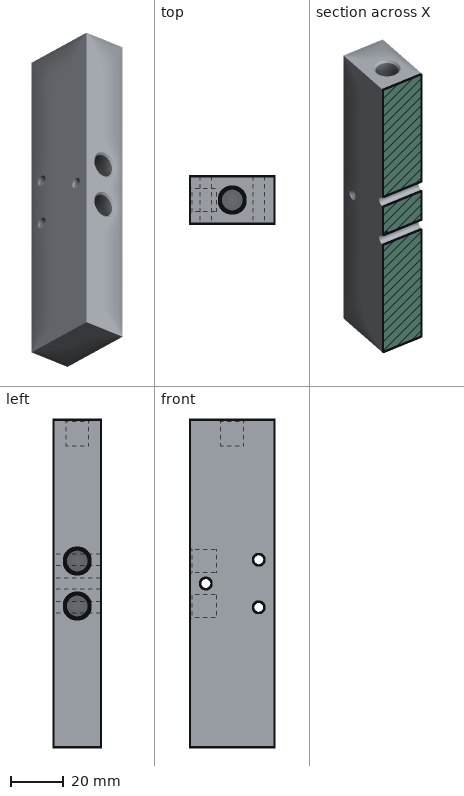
import cadquery as cq

WIDTH = 32.0
THICKNESS = 18.0
HEIGHT = 124.0

PORT_DIAMETER = 8.7
PORT_MOUTH_DIAMETER = 10.2
PORT_CHAMFER = (PORT_MOUTH_DIAMETER - PORT_DIAMETER) / 2
PORT_DEPTH = 10.0
SIDE_PORT_SPACING = 17.0

MOUNT_DIAMETER = 4.25
MOUNT_OFFSET_X = 10.0
MOUNT_PAIR_SPACING = 18.0


def port_cutter(mouth, inward):
    """Blind port from the centre of its mouth, running along the inward direction."""
    plane = cq.Plane(origin=mouth, normal=inward)
    bore = cq.Workplane(plane).circle(PORT_DIAMETER / 2).extrude(PORT_DEPTH)
    lead_in = (
        cq.Workplane(plane)
        .circle(PORT_MOUTH_DIAMETER / 2)
        .workplane(offset=PORT_CHAMFER)
        .circle(PORT_DIAMETER / 2)
        .loft()
    )
    return bore.union(lead_in)


def cut_ports(body):
    """One pilot port in the top end and two working ports in the -X side."""
    body = body.cut(port_cutter((0, 0, HEIGHT / 2), (0, 0, -1)))
    for side in (-1, 1):
        mouth = (-WIDTH / 2, 0, side * SIDE_PORT_SPACING / 2)
        body = body.cut(port_cutter(mouth, (1, 0, 0)))
    return body


def cut_mounting_holes(body):
    """Single hole on the -X side and a pair on the +X side, all through Y."""
    centres = [
        (-MOUNT_OFFSET_X, 0),
        (MOUNT_OFFSET_X, MOUNT_PAIR_SPACING / 2),
        (MOUNT_OFFSET_X, -MOUNT_PAIR_SPACING / 2),
    ]
    cutter = (
        cq.Workplane("XZ")
        .pushPoints(centres)
        .circle(MOUNT_DIAMETER / 2)
        .extrude(THICKNESS, both=True)
    )
    return body.cut(cutter)


body = cq.Workplane("XY").box(WIDTH, THICKNESS, HEIGHT)
result = cut_mounting_holes(cut_ports(body))